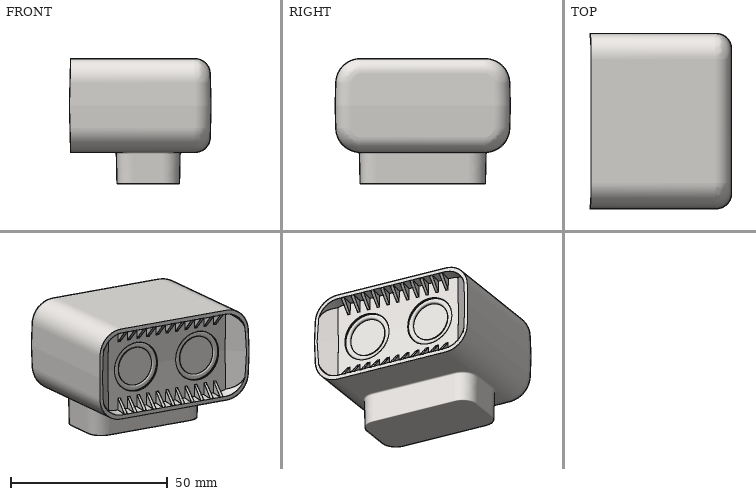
import cadquery as cq
import math

body_length = 45.3
body_width = 56.0
body_height = 30.0
body_corner_radius = 8.0
back_edge_radius = 5.0
draft_angle = 1.5

overall_height = 40.0
boss_length = 20.05
boss_width = 40.1
boss_center_x = 25.2
boss_corner_radius = 5.0
boss_draft_angle = 1.2
boss_root_radius = 0.5
boss_end_radius = 0.2

side_wall = 1.0
top_wall = 1.3
recess_depth = 4.9
recess_corner_radius = 7.45
recess_draft_angle = 6.0
side_flare_angle = 46.0

ring_spacing = 22.95
ring_outer_radius = 8.05
ring_inner_radius = 6.3
ring_height = 0.7
ring_edge_radius = 0.55

rib_count = 11
rib_pitch = 3.6
rib_base_width = 1.2
rib_tip_width = 0.85
rib_tip_z = 9.2

boss_overlap = 2.8
wall_overlap = 0.85

root_reach = 0.55

half_width = body_width / 2
half_height = body_height / 2
draft_slope = math.tan(math.radians(draft_angle))
body_draft = half_height * draft_slope
recess_half_width = half_width - side_wall
recess_half_height = half_height - top_wall


def crowned_outline(half_y, half_z, corner_radius):
    """Rounded Y-Z outline whose sides lean in, by the draft angle, above and below Z = 0."""
    edge_y = half_y - half_z * draft_slope
    corners = [
        (half_y, 0),
        (edge_y, half_z),
        (-edge_y, half_z),
        (-half_y, 0),
        (-edge_y, -half_z),
        (edge_y, -half_z),
        (half_y, 0),
    ]
    outline = cq.Sketch().polygon(corners).vertices(">Y or <Y").fillet(corner_radius)
    return cq.Workplane("YZ").placeSketch(outline)


def crowned_block(length, start_draft, end_draft):
    """Block from X = 0 to the length; both end faces are longest at Z = 0 and drafted above and below it."""
    outline = [
        (0, 0),
        (start_draft, half_height),
        (length - end_draft, half_height),
        (length, 0),
        (length - end_draft, -half_height),
        (start_draft, -half_height),
    ]
    return cq.Workplane("XZ").polyline(outline).close().extrude(half_width, both=True)


def make_body():
    """Solid body, crowned at Z = 0, with its back edges rounded."""
    tube = crowned_outline(half_width, half_height, body_corner_radius).extrude(body_length)
    body = tube.intersect(crowned_block(body_length, body_draft, body_draft))
    above_parting = cq.Workplane("XY").box(2 * body_length, body_width, body_height, (True, True, False))
    upper_half = body.intersect(above_parting).faces(">X").edges("not <Z").fillet(back_edge_radius)
    return upper_half.union(upper_half.mirror("XY"))


def make_boss():
    """Rounded rectangular boss that widens from its free end up to the body."""
    boss_plane = cq.Workplane("XY", origin=(boss_center_x, 0, half_height - overall_height))
    outline = cq.Sketch().rect(boss_length, boss_width).vertices().fillet(boss_corner_radius)
    boss_height = overall_height - body_height
    boss = boss_plane.placeSketch(outline).extrude(boss_height + boss_overlap, taper=-boss_draft_angle)
    return boss.faces("<Z").edges().fillet(boss_end_radius)


def add_boss(body):
    """Join the boss to the underside and round the root between them."""
    reach_x = boss_length / 2 + root_reach
    reach_y = boss_width / 2 + root_reach
    root_box = cq.selectors.BoxSelector(
        (boss_center_x - reach_x, -reach_y, -half_height - root_reach),
        (boss_center_x + reach_x, reach_y, -half_height + root_reach),
        boundingbox=True,
    )
    return body.union(make_boss()).edges(root_box).fillet(boss_root_radius)


def make_recess():
    """Shallow recess: drafted top and bottom, steeply flared sides, and a crowned floor."""
    shell = crowned_outline(recess_half_width, recess_half_height, recess_corner_radius)
    flare = crowned_outline(recess_half_width, body_height, recess_corner_radius)
    recess = shell.extrude(recess_depth, taper=recess_draft_angle)
    recess = recess.intersect(flare.extrude(recess_depth, taper=side_flare_angle))
    return recess.intersect(crowned_block(recess_depth, 0, body_draft))


def make_pocket(y):
    """Flat round pocket that reaches from the open end to just below the recess floor."""
    return cq.Workplane("YZ", origin=(0, y, 0)).circle(ring_outer_radius).extrude(recess_depth + ring_height)


def make_ring(y):
    """Ring with rounded edges that fills the border of a pocket up to the recess floor."""
    ring_plane = cq.Workplane("YZ", origin=(recess_depth, y, 0))
    ring = ring_plane.circle(ring_outer_radius).circle(ring_inner_radius).extrude(ring_height + wall_overlap)
    return ring.faces("<X").edges().fillet(ring_edge_radius)


def make_rib(y):
    """Rib on the recess bottom: thins toward its tip and slopes from the rim up to the recess floor."""
    root_z = -recess_half_height - wall_overlap
    section = [
        (y - rib_base_width / 2, root_z),
        (y + rib_base_width / 2, root_z),
        (y + rib_tip_width / 2, -rib_tip_z),
        (y - rib_tip_width / 2, -rib_tip_z),
    ]
    slope = [
        (body_draft, -recess_half_height),
        (recess_depth, -rib_tip_z),
        (recess_depth, root_z),
        (body_draft, root_z),
    ]
    bar = cq.Workplane("YZ").polyline(section).close().extrude(recess_depth)
    return bar.intersect(cq.Workplane("XZ").polyline(slope).close().extrude(half_width, both=True))


result = add_boss(make_body()).cut(make_recess())

for side in (-1, 1):
    ring_y = side * ring_spacing / 2
    result = result.cut(make_pocket(ring_y)).union(make_ring(ring_y))

for index in range(rib_count):
    rib = make_rib((index - (rib_count - 1) / 2) * rib_pitch)
    result = result.union(rib).union(rib.mirror("XY"))